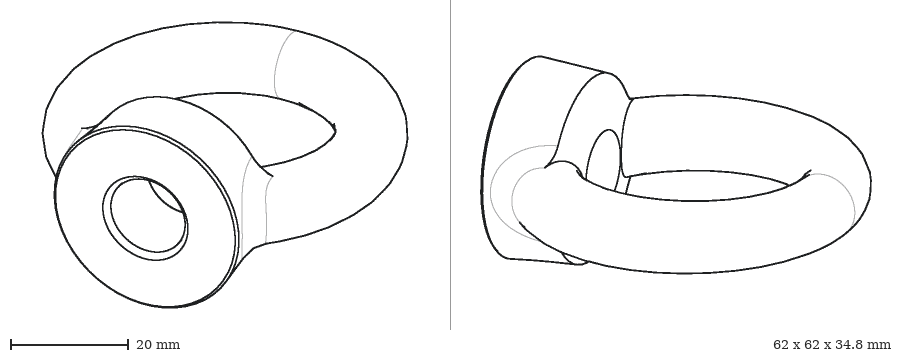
import cadquery as cq
import math

ring_outer_radius = 31.0
ring_eye_radius = 18.4
eye_offset = 0.6
arm_sweep = 155.0
sections_per_arm = 9

base_y = -ring_outer_radius
base_diameter = 34.9
shoulder_diameter = 33.0
shoulder_height = 12.95
boss_height = 15.0
shoulder_y = base_y + shoulder_height
top_y = base_y + boss_height
base_chamfer = 0.5
arm_fillet_radius = 5.9

hole_diameter = 14.0
hole_mouth_diameter = 16.05
mouth_depth = (hole_mouth_diameter - hole_diameter) / 2


def arm_section(angle):
    """Circular bar section, in the plane through the ring centre at an angle from +Y."""
    sine = math.sin(angle)
    cosine = math.cos(angle)
    eye_distance = eye_offset * cosine + math.sqrt(ring_eye_radius**2 - (eye_offset * sine)**2)
    bar_radius = (ring_outer_radius - eye_distance) / 2
    centre_distance = (ring_outer_radius + eye_distance) / 2
    plane = cq.Plane(
        origin=(centre_distance * sine, centre_distance * cosine, 0),
        xDir=(-sine, -cosine, 0),
        normal=(cosine, -sine, 0),
    )
    return cq.Workplane(plane).circle(bar_radius).wires().val()


def make_arm():
    """Right half of the ring, from its top down into the boss."""
    step = math.radians(arm_sweep) / (sections_per_arm - 1)
    sections = [arm_section(i * step) for i in range(sections_per_arm)]
    return cq.Workplane(obj=cq.Solid.makeLoft(sections))


def revolve_about_y(profile):
    """Solid of revolution about the Y axis from (position along Y, radius) points."""
    return cq.Workplane("YZ").polyline(profile).close().revolve(360, (0, 0, 0), (1, 0, 0))


def make_boss():
    """Tapered hub with its cone running up to the rim of the hole, before the hole is cut."""
    profile = [
        (base_y, 0),
        (base_y, base_diameter / 2),
        (shoulder_y, shoulder_diameter / 2),
        (top_y, hole_diameter / 2),
        (top_y, 0),
    ]
    return revolve_about_y(profile).faces("<Y").edges().chamfer(base_chamfer)


def make_hole():
    """Tool for the through hole and its countersunk mouth at the base."""
    profile = [
        (base_y, 0),
        (base_y, hole_mouth_diameter / 2),
        (base_y + mouth_depth, hole_diameter / 2),
        (top_y, hole_diameter / 2),
        (top_y, 0),
    ]
    return revolve_about_y(profile)


def arm_joint_edges(side):
    """Selector for the edge where an arm enters the tapered wall; side is +1 or -1 along X."""
    return cq.selectors.BoxSelector(
        (side * shoulder_diameter / 4, base_y, -ring_outer_radius),
        (side * base_diameter / 2, shoulder_y, ring_outer_radius),
    )


right_arm = make_arm()
body = make_boss().union(right_arm).union(right_arm.mirror("YZ"))
for side in (1, -1):
    body = body.edges(arm_joint_edges(side)).fillet(arm_fillet_radius)

result = body.cut(make_hole())